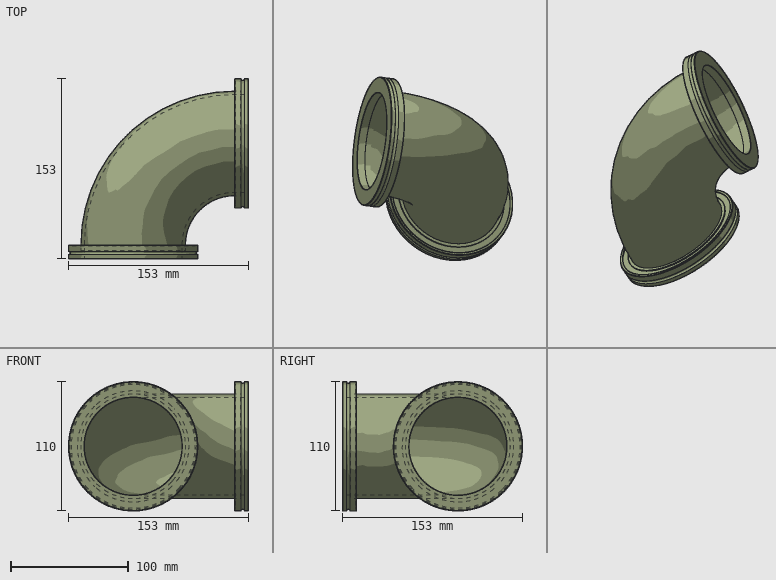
import cadquery as cq

face_distance = 98.0

flange_thickness = 12.0
tube_outer_radius = 44.45
tube_inner_radius = 41.5
tube_end_depth = 7.0
bend_radius = face_distance - flange_thickness
stub_length = flange_thickness - tube_end_depth

flange_radius = 55.0
bore_radius = tube_inner_radius
rim_chamfer = 0.5
bore_chamfer = 0.3

rim_groove_radius = 1.4
rim_groove_depth = 5.0

clamp_groove_inner_radius = 47.3
clamp_groove_outer_radius = 52.6
clamp_groove_depth = 1.0


def tube_section(plane, origin):
    """Ring outline of the tube wall."""
    return (
        cq.Workplane(plane, origin=origin)
        .circle(tube_outer_radius)
        .circle(tube_inner_radius)
    )


def make_tube():
    """Quarter bend with a short straight stub at each end."""
    inlet = (0, -bend_radius, 0)
    outlet = (bend_radius, 0, 0)
    bend = tube_section("XZ", inlet).revolve(90, (bend_radius, 0, 0), (bend_radius, -1, 0))
    inlet_stub = tube_section("XZ", inlet).extrude(stub_length)
    outlet_stub = tube_section("YZ", outlet).extrude(stub_length)
    return bend.union(inlet_stub).union(outlet_stub)


def make_flange():
    """Flange with its sealing face on the XY plane and its back toward +Z."""
    body = cq.Workplane("XY").circle(flange_radius).extrude(flange_thickness)
    body = body.edges().chamfer(rim_chamfer)

    bore = cq.Workplane("XY").circle(bore_radius).extrude(tube_end_depth)
    bore_bevel = (
        cq.Workplane("XY")
        .circle(bore_radius + bore_chamfer)
        .extrude(bore_chamfer, taper=45)
    )
    tube_socket = (
        cq.Workplane("XY", origin=(0, 0, tube_end_depth))
        .circle(tube_outer_radius)
        .extrude(stub_length)
    )
    rim_groove = cq.Workplane(cq.Solid.makeTorus(
        flange_radius, rim_groove_radius, cq.Vector(0, 0, rim_groove_depth)))
    clamp_groove = (
        cq.Workplane("XY", origin=(0, 0, flange_thickness))
        .circle(clamp_groove_outer_radius)
        .circle(clamp_groove_inner_radius)
        .extrude(-clamp_groove_depth)
    )
    for removed in (bore, bore_bevel, tube_socket, rim_groove, clamp_groove):
        body = body.cut(removed)
    return body


tube = make_tube()

flange_places = [
    ((1, 0, 0), -90, (0, -face_distance, 0)),
    ((0, 1, 0), -90, (face_distance, 0, 0)),
]
flanges = []
for axis, angle, position in flange_places:
    flange = make_flange().rotate((0, 0, 0), axis, angle).translate(position)
    flanges.append(flange)

result = cq.Compound.makeCompound([tube.val(), *[flange.val() for flange in flanges]])